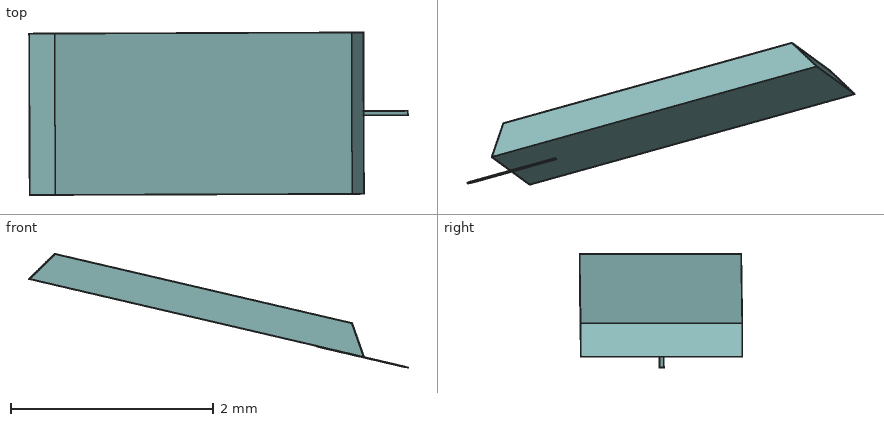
import cadquery as cq
import math

PITCH_DEG = 13.12
YAW_DEG = 0.2

BODY_LENGTH = 3.40
BODY_WIDTH = 1.60
BODY_THICKNESS = 0.30
END_FACE_ANGLE_DEG = 57.5
END_INSET = BODY_THICKNESS / math.tan(math.radians(END_FACE_ANGLE_DEG))

LEAD_WIDTH = 0.045
LEAD_THICKNESS = 0.006
LEAD_OVERHANG = 0.45
LEAD_OVERLAP = 0.47
LEAD_TIP_BEVEL = 0.04


def extrude_across_width(profile_points, width):
    """Extrude an XZ outline symmetrically about the Y = 0 plane."""
    return cq.Workplane("XZ").polyline(profile_points).close().extrude(width / 2, both=True)


def make_body():
    """Slab with its base on Z = 0, centred on X and Y."""
    base_half = BODY_LENGTH / 2
    top_half = base_half - END_INSET
    outline = [
        (-base_half, 0),
        (base_half, 0),
        (top_half, BODY_THICKNESS),
        (-top_half, BODY_THICKNESS),
    ]
    return extrude_across_width(outline, BODY_WIDTH)


def make_lead():
    """Strip hanging below Z = 0, with its tip bevelled above and below to a sharp edge."""
    start = BODY_LENGTH / 2 - LEAD_OVERLAP
    tip = BODY_LENGTH / 2 + LEAD_OVERHANG
    outline = [
        (start, 0),
        (tip - LEAD_TIP_BEVEL, 0),
        (tip, -LEAD_THICKNESS / 2),
        (tip - LEAD_TIP_BEVEL, -LEAD_THICKNESS),
        (start, -LEAD_THICKNESS),
    ]
    return extrude_across_width(outline, LEAD_WIDTH)


flat_part = make_body().union(make_lead())
tipped_part = flat_part.rotate((0, 0, 0), (0, 1, 0), PITCH_DEG)
result = tipped_part.rotate((0, 0, 0), (0, 0, 1), YAW_DEG)